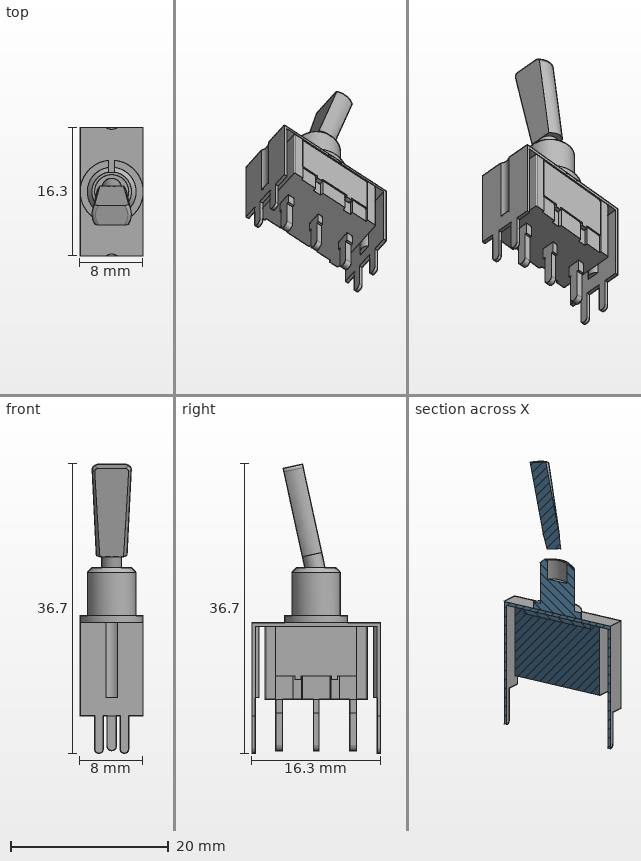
import cadquery as cq
import math

BRACKET_TOP = 16.58
BRACKET_UNDERSIDE = 16.05
LEG_BOTTOM = 4.77
CASE_BOTTOM = 6.85
FLANGE_TOP = 17.45
BUSHING_TOP = 23.55
OVERALL_HEIGHT = 36.68

BRACKET_WIDTH = 8.0
BRACKET_LENGTH = 16.32
LEG_THICKNESS = 0.45
BRACKET_PIN_WIDTH = 1.1
BRACKET_PIN_SPACING = 3.23
GROOVE_WIDTH = 1.45
GROOVE_DEPTH = 0.25
BULGE_WIDTH = 1.7
BULGE_HEIGHT = 0.48
GROOVE_LENGTH = 9.5

CASE_WIDTH = 7.92
CASE_LENGTH = 13.0
CASE_CORNER_RADIUS = 0.2
RECESS_LENGTH = 10.27
BLOCK_TOP = 9.83
BLOCK_SETBACK = 0.25
SIDE_BLOCK_INNER_Y = 2.95
MIDDLE_BLOCK_ROOT_LENGTH = 3.75
MIDDLE_BLOCK_FACE_LENGTH = 3.45

TERMINAL_WIDTH = 1.2
TERMINAL_PITCH = 4.7
OUTER_TERMINAL_THICKNESS = 0.88
MIDDLE_TERMINAL_THICKNESS = 0.75
TERMINAL_TIP = 0.33
SHOULDER_WIDTH = 1.75
SHOULDER_BOTTOM = 5.1

FRAME_SETBACK = 0.1
FRAME_THICKNESS = 0.55
TAB_INNER_Y = 1.95
TAB_OUTER_Y = 2.7
TAB_BOTTOM = 9.4

BUSHING_DIAMETER = 6.2
FLANGE_DIAMETER = BRACKET_WIDTH
BORE_DIAMETER = 4.33
BORE_DEPTH = 2.55
BUSHING_CHAMFER = 0.6
KEYWAY_WIDTH = 0.77
KEYWAY_FLOOR_Y = 2.45

LEVER_TILT = 12.3
PIVOT_DEPTH = 0.75
STEM_DIAMETER = 2.53
PADDLE_BASE_DIAMETER = 3.92
PADDLE_TIP_DIAMETER = 5.03
PADDLE_LENGTH = 11.48
PADDLE_TIP_RADIUS = 0.45

FRAME_OUTER_X = CASE_WIDTH / 2 - FRAME_SETBACK
CORE_HALF_WIDTH = FRAME_OUTER_X - FRAME_THICKNESS
BLOCK_FACE_X = CASE_WIDTH / 2 - BLOCK_SETBACK
BORE_FLOOR = BUSHING_TOP - BORE_DEPTH
PIVOT_Z = BUSHING_TOP - PIVOT_DEPTH


def box_between(x_range, y_range, z_range):
    """A box given by its lower and upper limit along each axis."""
    limits = (x_range, y_range, z_range)
    sizes = [high - low for low, high in limits]
    lows = [low for low, high in limits]
    return cq.Workplane("XY").box(*sizes, centered=False).translate(tuple(lows))


def centred_box(x_size, y_size, bottom, top):
    """A box centred on the Z axis between two levels."""
    return box_between((-x_size / 2, x_size / 2), (-y_size / 2, y_size / 2), (bottom, top))


def both_sides(shape, plane):
    """A shape joined with its mirror image."""
    return shape.union(shape.mirror(plane))


def round_tipped_pin(width, thickness, tip, top, x, y):
    """A flat pin, wide along X, whose lower end is a full half circle."""
    half = width / 2
    return (
        cq.Workplane("XZ")
        .moveTo(x - half, top)
        .lineTo(x - half, tip + half)
        .threePointArc((x, tip), (x + half, tip + half))
        .lineTo(x + half, top)
        .close()
        .extrude(thickness / 2, both=True)
        .translate((0, y, 0))
    )


def arc_strip(base_y, width, rise):
    """A vertical strip below the bracket top, bounded by a chord at base_y and an arc that rises toward +Y."""
    return (
        cq.Workplane("XY", origin=(0, 0, BRACKET_TOP - GROOVE_LENGTH))
        .moveTo(-width / 2, base_y)
        .threePointArc((0, base_y + rise), (width / 2, base_y))
        .close()
        .extrude(GROOVE_LENGTH)
    )


def make_bracket():
    outer_y = BRACKET_LENGTH / 2
    inner_y = outer_y - LEG_THICKNESS
    plate = centred_box(BRACKET_WIDTH, BRACKET_LENGTH, BRACKET_UNDERSIDE, BRACKET_TOP)

    half_width = BRACKET_WIDTH / 2
    leg = box_between((-half_width, half_width), (-outer_y, -inner_y), (LEG_BOTTOM, BRACKET_UNDERSIDE))
    for side in (-1, 1):
        pin_x = side * BRACKET_PIN_SPACING / 2
        pin_y = -(outer_y + inner_y) / 2
        leg = leg.union(round_tipped_pin(BRACKET_PIN_WIDTH, LEG_THICKNESS, 0, LEG_BOTTOM, pin_x, pin_y))
    leg = leg.union(arc_strip(-inner_y, BULGE_WIDTH, BULGE_HEIGHT))

    groove = arc_strip(-outer_y, GROOVE_WIDTH, GROOVE_DEPTH)
    return plate.union(both_sides(leg, "XZ")).cut(both_sides(groove, "XZ"))


def make_frame():
    half_length = RECESS_LENGTH / 2
    top_plate = centred_box(
        2 * FRAME_OUTER_X, RECESS_LENGTH, BRACKET_UNDERSIDE - FRAME_THICKNESS, BRACKET_UNDERSIDE
    )
    x_range = (-FRAME_OUTER_X, -CORE_HALF_WIDTH)
    side = box_between(x_range, (-half_length, half_length), (BLOCK_TOP, BRACKET_UNDERSIDE))
    tab = box_between(x_range, (TAB_INNER_Y, TAB_OUTER_Y), (TAB_BOTTOM, BLOCK_TOP))
    side = side.union(both_sides(tab, "XZ"))
    return top_plate.union(both_sides(side, "YZ"))


def make_case():
    case = (
        centred_box(CASE_WIDTH, CASE_LENGTH, CASE_BOTTOM, BRACKET_UNDERSIDE)
        .edges("|Z")
        .fillet(CASE_CORNER_RADIUS)
    )

    half_length = RECESS_LENGTH / 2
    side_recess = box_between(
        (-CASE_WIDTH / 2, -CORE_HALF_WIDTH), (-half_length, half_length), (CASE_BOTTOM, BRACKET_UNDERSIDE)
    )
    top_recess = centred_box(
        CASE_WIDTH, RECESS_LENGTH, BRACKET_UNDERSIDE - FRAME_THICKNESS, BRACKET_UNDERSIDE
    )
    case = case.cut(both_sides(side_recess, "YZ")).cut(top_recess)

    block_levels = (CASE_BOTTOM, BLOCK_TOP)
    side_block = box_between(
        (-BLOCK_FACE_X, -CORE_HALF_WIDTH), (SIDE_BLOCK_INNER_Y, half_length), block_levels
    )
    middle_block = (
        cq.Workplane("XY", origin=(0, 0, CASE_BOTTOM))
        .polyline([
            (-CORE_HALF_WIDTH, -MIDDLE_BLOCK_ROOT_LENGTH / 2),
            (-BLOCK_FACE_X, -MIDDLE_BLOCK_FACE_LENGTH / 2),
            (-BLOCK_FACE_X, MIDDLE_BLOCK_FACE_LENGTH / 2),
            (-CORE_HALF_WIDTH, MIDDLE_BLOCK_ROOT_LENGTH / 2),
        ])
        .close()
        .extrude(BLOCK_TOP - CASE_BOTTOM)
    )
    blocks = both_sides(side_block, "XZ").union(middle_block)
    case = case.union(both_sides(blocks, "YZ"))

    for position in (-1, 0, 1):
        y = position * TERMINAL_PITCH
        thickness = OUTER_TERMINAL_THICKNESS if position else MIDDLE_TERMINAL_THICKNESS
        shoulder = centred_box(SHOULDER_WIDTH, thickness, SHOULDER_BOTTOM, CASE_BOTTOM).translate((0, y, 0))
        pin = round_tipped_pin(TERMINAL_WIDTH, thickness, TERMINAL_TIP, SHOULDER_BOTTOM, 0, y)
        case = case.union(shoulder).union(pin)
    return case


def make_bushing():
    flange_radius = FLANGE_DIAMETER / 2
    radius = BUSHING_DIAMETER / 2
    bore_radius = BORE_DIAMETER / 2
    bushing = (
        cq.Workplane("XZ")
        .polyline([
            (0, BRACKET_TOP),
            (flange_radius, BRACKET_TOP),
            (flange_radius, FLANGE_TOP),
            (radius, FLANGE_TOP),
            (radius, BUSHING_TOP - BUSHING_CHAMFER),
            (radius - BUSHING_CHAMFER, BUSHING_TOP),
            (bore_radius, BUSHING_TOP),
            (bore_radius, BORE_FLOOR),
            (0, BORE_FLOOR),
        ])
        .close()
        .revolve(360, (0, 0, 0), (0, 1, 0))
    )
    keyway = box_between(
        (-KEYWAY_WIDTH / 2, KEYWAY_WIDTH / 2), (KEYWAY_FLOOR_Y, flange_radius), (BRACKET_TOP, BUSHING_TOP)
    )
    return bushing.cut(keyway)


def make_lever():
    tilt = math.radians(LEVER_TILT)
    tip_height = (OVERALL_HEIGHT - PIVOT_Z - STEM_DIAMETER / 2 * math.sin(tilt)) / math.cos(tilt)
    base_height = tip_height - PADDLE_LENGTH

    paddle = (
        cq.Workplane(cq.Solid.makeCone(PADDLE_BASE_DIAMETER / 2, PADDLE_TIP_DIAMETER / 2, PADDLE_LENGTH))
        .translate((0, 0, base_height))
        .faces(">Z")
        .edges()
        .fillet(PADDLE_TIP_RADIUS)
        .intersect(centred_box(PADDLE_TIP_DIAMETER, STEM_DIAMETER, base_height, tip_height))
    )
    stem_start = -2 * BORE_DEPTH
    stem = (
        cq.Workplane("XY", origin=(0, 0, stem_start))
        .circle(STEM_DIAMETER / 2)
        .extrude(base_height - stem_start)
    )
    lever = stem.union(paddle).rotate((0, 0, 0), (1, 0, 0), LEVER_TILT).translate((0, 0, PIVOT_Z))

    below_floor = centred_box(BRACKET_LENGTH, BRACKET_LENGTH, 0, BORE_FLOOR)
    return lever.cut(below_floor)


bracket = make_bracket()
frame = make_frame()
case = make_case()
bushing = make_bushing()
lever = make_lever()

bodies = [bracket, frame, case, bushing, lever]
result = cq.Compound.makeCompound([body.solids().val() for body in bodies])